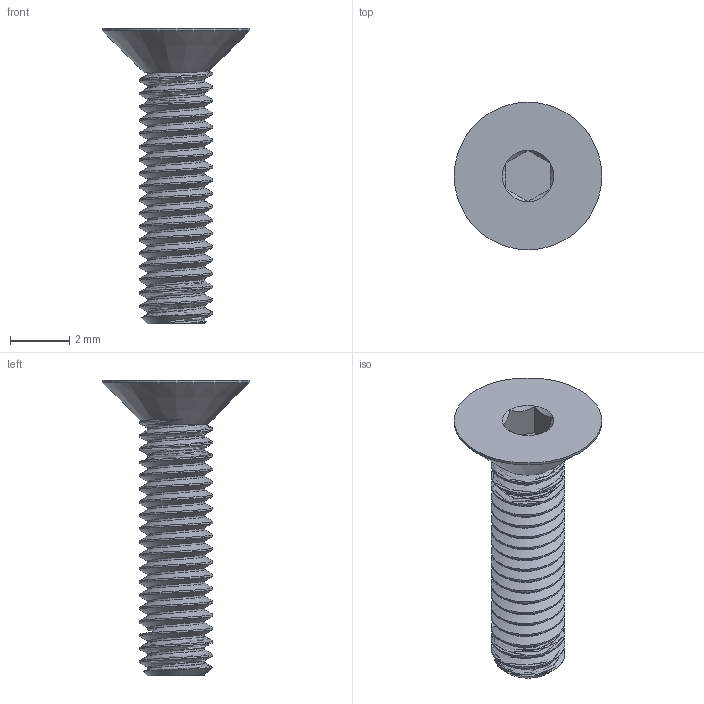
import cadquery as cq
import math

total_length = 10.0
thread_diameter = 2.5
thread_pitch = 0.45

head_diameter = 2 * thread_diameter
head_height = 1.5
rim_height = 0.08

socket_width = 1.5
socket_depth = 1.1
socket_corner_diameter = socket_width / math.cos(math.pi / 6)
socket_chamfer_clearance = 0.02
socket_chamfer_diameter = socket_corner_diameter + socket_chamfer_clearance
socket_chamfer_angle = math.radians(45)

crest_radius = thread_diameter / 2
crest_width = thread_pitch / 8
thread_depth_ratio = 0.614
thread_depth = thread_depth_ratio * thread_pitch
root_radius = crest_radius - thread_depth
flank_angle = math.radians(30)
root_overlap = 0.03
first_crest_z = -1.54
turns_inside_head = 1
turns_past_tip = 1

tip_diameter = 1.92
tip_chamfer = (thread_diameter - tip_diameter) / 2


def make_head():
    """Thin cylindrical rim over a 45 degree cone."""
    rim_radius = head_diameter / 2
    neck_radius = rim_radius - (head_height - rim_height)
    return (
        cq.Workplane("XZ")
        .lineTo(rim_radius, 0)
        .lineTo(rim_radius, -rim_height)
        .lineTo(neck_radius, -head_height)
        .lineTo(0, -head_height)
        .close()
        .revolve(360, (0, 0), (0, 1))
    )


def make_thread_ridge():
    """Right-handed ridge that starts inside the head and runs past the tip."""
    inner_radius = root_radius - root_overlap
    base_half_width = crest_width / 2 + (crest_radius - inner_radius) * math.tan(flank_angle)
    turns_below = math.ceil((total_length + first_crest_z) / thread_pitch) + turns_past_tip
    start_z = first_crest_z - turns_below * thread_pitch
    ridge_length = (turns_below + turns_inside_head) * thread_pitch
    helix = cq.Wire.makeHelix(thread_pitch, ridge_length, root_radius, cq.Vector(0, 0, start_z))
    return (
        cq.Workplane("XZ", origin=(0, 0, start_z))
        .moveTo(inner_radius, -base_half_width)
        .lineTo(crest_radius, -crest_width / 2)
        .lineTo(crest_radius, crest_width / 2)
        .lineTo(inner_radius, base_half_width)
        .close()
        .sweep(cq.Workplane(obj=helix), isFrenet=True)
    )


def make_shank():
    """Threaded shank with a 45 degree chamfer at its tip."""
    top_z = -head_height / 2
    shank_length = total_length + top_z
    core = cq.Workplane("XY", origin=(0, 0, -total_length)).circle(root_radius).extrude(shank_length)
    crest_clearance = tip_chamfer
    envelope_radius = crest_radius + crest_clearance
    envelope = (
        cq.Workplane("XY", origin=(0, 0, -total_length))
        .circle(envelope_radius)
        .extrude(shank_length)
        .faces("<Z")
        .chamfer(tip_chamfer + crest_clearance)
    )
    ridge = make_thread_ridge().intersect(envelope)
    return core.union(ridge).intersect(envelope)


def make_socket():
    """Hexagonal recess with a conical lead-in just wider than the corners."""
    chamfer_radius = socket_chamfer_diameter / 2
    hexagon = (
        cq.Workplane("XY")
        .transformed(rotate=(0, 0, 90))
        .polygon(6, socket_corner_diameter)
        .extrude(-socket_depth)
    )
    lead_in = (
        cq.Workplane("XZ")
        .lineTo(chamfer_radius, 0)
        .lineTo(0, -chamfer_radius * math.tan(socket_chamfer_angle))
        .close()
        .revolve(360, (0, 0), (0, 1))
    )
    return hexagon.union(lead_in)


result = make_head().union(make_shank()).cut(make_socket())